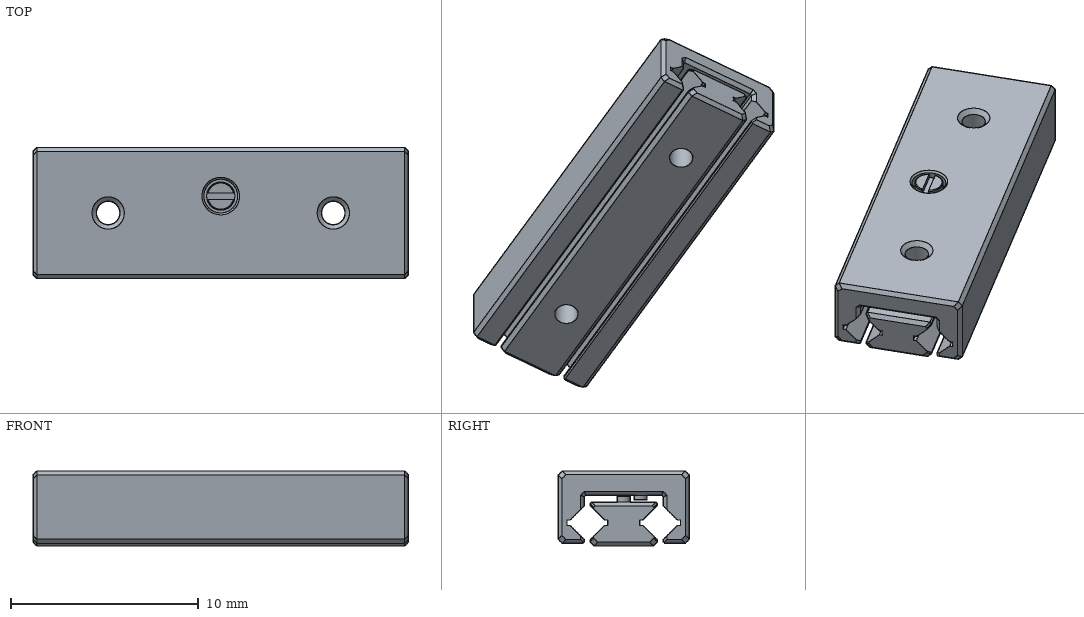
import cadquery as cq
LENGTH = 20.0
WIDTH = 7.0
HEIGHT = 4.0
END_CHAMFER = 0.2
CORNER_CHAMFER = 0.22
SMALL_CHAMFER = 0.08

CARRIAGE_BOTTOM = 0.15
CHANNEL_WIDTH = 4.2
CHANNEL_CEILING = 2.7

RAIL_WIDTH = 3.6
RAIL_HEIGHT = 2.35

RACEWAY_Z = 1.25
RELIEF_HALF_HEIGHT = 0.15
CARRIAGE_APEX_Y = 3.0
CARRIAGE_RELIEF_Y = 3.02
RAIL_APEX_Y = 0.88
RAIL_RELIEF_Y = 0.85

MOUNT_SPACING = 12.0
MOUNT_POSITIONS = (-MOUNT_SPACING / 2, MOUNT_SPACING / 2)
MOUNT_DIAMETER = 1.25
MOUNT_COUNTERSINK = 0.25

SCREW_Y = 0.9
HEAD_DIAMETER = 1.5
HEAD_TOP = 3.95
HEAD_HEIGHT = 0.6
HEAD_SEAT = HEAD_TOP - HEAD_HEIGHT
HEAD_CHAMFER = 0.05
DRIVE_SLOT_WIDTH = 0.35
DRIVE_SLOT_DEPTH = 0.25
SHANK_DIAMETER = 0.7
SHANK_BOTTOM = 2.45
SCREW_BORE_DIAMETER = 1.8
SCREW_BORE_CHAMFER = 0.1

PIN_DIAMETER = 0.7
PIN_TOP = 2.65
PIN_DEPTH = 0.8
PIN_BOTTOM = RAIL_HEIGHT - PIN_DEPTH


def bevelled_outline(width, bottom, top, bottom_bevel, top_bevel, inset):
    """Corner points in (Y, Z) of a rectangle with 45-degree corner bevels, pulled in all round by the inset."""
    half = width / 2 - inset
    low = bottom + inset
    high = top - inset
    right_side = [
        (half - bottom_bevel, low),
        (half, low + bottom_bevel),
        (half, high - top_bevel),
        (half - top_bevel, high),
    ]
    left_side = [(-y, z) for y, z in reversed(right_side)]
    return right_side + left_side


def bevelled_bar(width, bottom, top, bottom_bevel, top_bevel):
    """Bar along X whose ends taper in at 45 degrees while the corner bevels keep their size."""
    full = bevelled_outline(width, bottom, top, bottom_bevel, top_bevel, 0)
    end = bevelled_outline(width, bottom, top, bottom_bevel, top_bevel, END_CHAMFER)
    end_x = LENGTH / 2
    shoulder_x = end_x - END_CHAMFER
    wires = []
    for x, outline in ((-end_x, end), (-shoulder_x, full), (shoulder_x, full), (end_x, end)):
        points = [cq.Vector(x, y, z) for y, z in outline]
        wires.append(cq.Wire.makePolygon(points, close=True))
    return cq.Workplane(obj=cq.Solid.makeLoft(wires, True))


def cylinder(diameter, bottom, top, x=0.0, y=0.0):
    """Vertical cylinder between two heights."""
    return cq.Workplane("XY", origin=(x, y, bottom)).circle(diameter / 2).extrude(top - bottom)


def countersink(hole_diameter, depth, x=0.0, y=0.0):
    """45-degree cone that breaks the edge of a hole in the carriage top."""
    radius = hole_diameter / 2
    base = cq.Vector(x, y, HEIGHT - depth)
    return cq.Workplane(obj=cq.Solid.makeCone(radius, radius + depth, depth, base))


def cut_raceways(body, apex_y, relief_y, mouth_y):
    """Cut a raceway on both sides: 45-degree flanks in from the mouth, ending in a relief slot."""
    inward = 1 if apex_y > mouth_y else -1
    half_mouth = abs(apex_y - mouth_y)
    flank_end_y = apex_y - inward * RELIEF_HALF_HEIGHT
    lower_side = [
        (mouth_y, -half_mouth),
        (flank_end_y, -RELIEF_HALF_HEIGHT),
        (relief_y, -RELIEF_HALF_HEIGHT),
    ]
    upper_side = [(y, -z) for y, z in reversed(lower_side)]
    cutter = (
        cq.Workplane("YZ", origin=(0, 0, RACEWAY_Z))
        .polyline(lower_side + upper_side)
        .close()
        .extrude(LENGTH / 2, both=True)
    )
    return body.cut(cutter).cut(cutter.mirror("XZ"))


def cut_mounting_holes(body):
    """Drill the mounting holes straight through."""
    for x in MOUNT_POSITIONS:
        body = body.cut(cylinder(MOUNT_DIAMETER, 0, HEIGHT, x))
    return body


def cut_channel(body):
    """Cut the channel, then bevel its end mouths and the lower edges of its lips."""
    height = CHANNEL_CEILING - CARRIAGE_BOTTOM
    channel = (
        cq.Workplane("XY", origin=(0, 0, CARRIAGE_BOTTOM))
        .box(LENGTH, CHANNEL_WIDTH, height, centered=(True, True, False))
        .edges("|X and >Z")
        .chamfer(SMALL_CHAMFER)
    )
    body = body.cut(channel)

    reach_y = (CHANNEL_WIDTH + SMALL_CHAMFER) / 2
    mouth_rims = cq.selectors.BoxSelector(
        (-LENGTH, -reach_y, CARRIAGE_BOTTOM),
        (LENGTH, reach_y, CHANNEL_CEILING + SMALL_CHAMFER),
    )
    body = body.faces("<X or >X").edges(mouth_rims).chamfer(END_CHAMFER)

    lip_edges = cq.selectors.BoxSelector(
        (-LENGTH, -reach_y, CARRIAGE_BOTTOM - SMALL_CHAMFER),
        (LENGTH, reach_y, CARRIAGE_BOTTOM + SMALL_CHAMFER),
    )
    return body.edges("|X").edges(lip_edges).chamfer(SMALL_CHAMFER)


def make_carriage():
    body = bevelled_bar(WIDTH, CARRIAGE_BOTTOM, HEIGHT, CORNER_CHAMFER, CORNER_CHAMFER)
    body = cut_channel(body)
    body = cut_raceways(body, CARRIAGE_APEX_Y, CARRIAGE_RELIEF_Y, CHANNEL_WIDTH / 2)

    body = cut_mounting_holes(body)
    for x in MOUNT_POSITIONS:
        body = body.cut(countersink(MOUNT_DIAMETER, MOUNT_COUNTERSINK, x))

    body = body.cut(cylinder(SCREW_BORE_DIAMETER, HEAD_SEAT, HEIGHT, y=SCREW_Y))
    body = body.cut(cylinder(SHANK_DIAMETER, CHANNEL_CEILING, HEAD_SEAT, y=SCREW_Y))
    return body.cut(countersink(SCREW_BORE_DIAMETER, SCREW_BORE_CHAMFER, y=SCREW_Y))


def make_rail():
    body = bevelled_bar(RAIL_WIDTH, 0, RAIL_HEIGHT, CORNER_CHAMFER, SMALL_CHAMFER)
    body = cut_raceways(body, RAIL_APEX_Y, RAIL_RELIEF_Y, RAIL_WIDTH / 2)
    body = cut_mounting_holes(body)
    return body.cut(make_pin())


def make_screw():
    head = cylinder(HEAD_DIAMETER, HEAD_SEAT, HEAD_TOP, y=SCREW_Y).faces(">Z").chamfer(HEAD_CHAMFER)
    drive_slot = cq.Workplane("XY", origin=(0, SCREW_Y, HEAD_TOP - DRIVE_SLOT_DEPTH)).box(
        HEAD_DIAMETER, DRIVE_SLOT_WIDTH, DRIVE_SLOT_DEPTH, centered=(True, True, False)
    )
    shank = cylinder(SHANK_DIAMETER, SHANK_BOTTOM, HEAD_SEAT, y=SCREW_Y)
    return head.cut(drive_slot).union(shank)


def make_pin():
    return cylinder(PIN_DIAMETER, PIN_BOTTOM, PIN_TOP)


carriage = make_carriage()
rail = make_rail()
screw = make_screw()
pin = make_pin()

result = cq.Compound.makeCompound([carriage.val(), rail.val(), screw.val(), pin.val()])